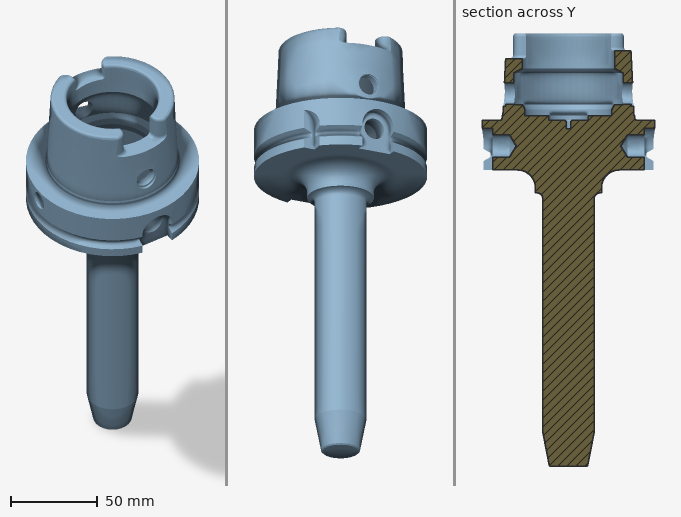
import cadquery as cq
import math

total_length = 250.0
shank_height = 50.0
flange_radius = 50.0
flange_thickness = 29.0

shank_top_radius = 35.7
shank_foot_radius = 38.0
rim_round = 1.7
foot_band_radius = 38.5
foot_band_height = 2.0
foot_bevel_height = 1.0
foot_fillet = 1.0

groove_top = -16.7
groove_floor_radius = 46.0
groove_floor_width = 2.2
groove_flank_angle = 30.0
groove_fillet = 0.7

neck_fillet = 10.0
neck_radius = 19.2
ring_height = 3.2
ring_fillet = 3.0
arbor_radius = 15.0
tip_height = 20.0
tip_radius = 11.2
tip_chamfer = 0.7

bore_radius = 26.5
bore_straight_depth = 20.2
undercut_radius = 31.5
undercut_height = 2.7
ledge_height = 9.0
recess_radius = 25.0
recess_taper_end = 6.0
bore_floor = 2.5
tube_seat_radius = 11.2
tube_seat_depth = 2.5
coolant_mouth_radius = 2.2
coolant_radius = 1.2
coolant_depth = 5.0

notch_half_width = 10.0
notch_corner_radius = 5.5
notch_wall_end = 32.0
notch_floor_fillet = 2.0
left_notch_depth = 10.0
right_notch_depth = 14.5

cross_hole_radius = 6.0
cross_hole_height = 15.2
spot_face_radius = 6.7
spot_face_height = 14.7
spot_face_floor = 36.2

slot_radius = 10.0
slot_centre_z = -15.0
key_slot_floor = 44.0
side_slot_floor = 31.2
side_slot_centre = 42.2
key_hole_radius = 6.2
key_hole_depth = 10.0
drill_point_angle = 118.0

chip_radius = 5.2
chip_depth = 5.0
chip_z = -7.0
chip_pilot_radius = 0.5
chip_pilot_depth = 1.2

overrun = 2.5


def half_turn(shape):
    return shape.rotate((0, 0, 0), (0, 0, 1), 180)


def revolved_body():
    """Outer shape, solid, from the shank rim down to the arbor tip."""
    flank_height = (flange_radius - groove_floor_radius) * math.tan(math.radians(groove_flank_angle))
    floor_top = groove_top - flank_height
    floor_bottom = floor_top - groove_floor_width
    groove_bottom = floor_bottom - flank_height
    neck_end = -flange_thickness - neck_fillet
    ring_bottom = neck_end - ring_height
    fillet_end = ring_bottom - ring_fillet
    arbor_end = shank_height - total_length
    diagonal = math.sqrt(0.5)
    neck_arc_mid = (
        neck_radius + neck_fillet * (1 - diagonal),
        neck_end + neck_fillet * diagonal,
    )
    ring_arc_mid = (
        arbor_radius + ring_fillet * (1 - diagonal),
        fillet_end + ring_fillet * diagonal,
    )
    foot_arc_mid = (
        foot_band_radius + foot_fillet * (1 - diagonal),
        foot_fillet * (1 - diagonal),
    )
    profile = (
        cq.Workplane("XZ")
        .moveTo(0, shank_height)
        .lineTo(shank_top_radius, shank_height)
        .lineTo(shank_foot_radius, foot_band_height + foot_bevel_height)
        .lineTo(foot_band_radius, foot_band_height)
        .lineTo(foot_band_radius, foot_fillet)
        .threePointArc(foot_arc_mid, (foot_band_radius + foot_fillet, 0))
        .lineTo(flange_radius, 0)
        .lineTo(flange_radius, groove_top)
        .lineTo(groove_floor_radius, floor_top)
        .lineTo(groove_floor_radius, floor_bottom)
        .lineTo(flange_radius, groove_bottom)
        .lineTo(flange_radius, -flange_thickness)
        .lineTo(neck_radius + neck_fillet, -flange_thickness)
        .threePointArc(neck_arc_mid, (neck_radius, neck_end))
        .lineTo(neck_radius, ring_bottom)
        .lineTo(arbor_radius + ring_fillet, ring_bottom)
        .threePointArc(ring_arc_mid, (arbor_radius, fillet_end))
        .lineTo(arbor_radius, arbor_end + tip_height)
        .lineTo(tip_radius, arbor_end + tip_chamfer)
        .lineTo(tip_radius - tip_chamfer, arbor_end)
        .lineTo(0, arbor_end)
        .close()
    )
    body = profile.revolve(360, (0, 0), (0, 1))
    groove_corners = body.edges("%CIRCLE").filter(lambda edge: edge.radius() == groove_floor_radius)
    return groove_corners.fillet(groove_fillet)


def bore():
    """Clamping bore with its undercut, floor recess and blind coolant hole."""
    undercut_start = shank_height - bore_straight_depth
    undercut_end = undercut_start - undercut_height
    seat_floor = bore_floor - tube_seat_depth
    coolant_bevel = coolant_mouth_radius - coolant_radius
    profile = (
        cq.Workplane("XZ")
        .moveTo(0, shank_height)
        .lineTo(bore_radius, shank_height)
        .lineTo(bore_radius, undercut_start)
        .lineTo(undercut_radius, undercut_end)
        .lineTo(undercut_radius, ledge_height)
        .lineTo(bore_radius, ledge_height)
        .lineTo(recess_radius, recess_taper_end)
        .lineTo(recess_radius, bore_floor)
        .lineTo(tube_seat_radius, bore_floor)
        .lineTo(tube_seat_radius, seat_floor)
        .lineTo(coolant_mouth_radius, seat_floor)
        .lineTo(coolant_radius, seat_floor - coolant_bevel)
        .lineTo(coolant_radius, seat_floor - coolant_depth)
        .lineTo(0, seat_floor - coolant_depth)
        .close()
    )
    return profile.revolve(360, (0, 0), (0, 1))


def drive_notch(side, depth):
    """Notch on the +X (side = 1) or -X (side = -1) rim, flaring round the prong ends."""
    corner_start = notch_wall_end - notch_corner_radius
    flare = notch_half_width + notch_corner_radius
    arc_inset = notch_corner_radius * (1 - math.sqrt(0.5))
    arc_mid = (notch_wall_end - arc_inset, notch_half_width + arc_inset)
    cutter = (
        cq.Workplane("XY", origin=(0, 0, shank_height - depth))
        .moveTo(0, -notch_half_width)
        .lineTo(corner_start, -notch_half_width)
        .threePointArc((arc_mid[0], -arc_mid[1]), (notch_wall_end, -flare))
        .lineTo(notch_wall_end, -flange_radius)
        .lineTo(flange_radius, -flange_radius)
        .lineTo(flange_radius, flange_radius)
        .lineTo(notch_wall_end, flange_radius)
        .lineTo(notch_wall_end, flare)
        .threePointArc(arc_mid, (corner_start, notch_half_width))
        .lineTo(0, notch_half_width)
        .close()
        .extrude(depth + overrun)
        .faces("<Z")
        .edges()
        .fillet(notch_floor_fillet)
    )
    return cutter if side > 0 else half_turn(cutter)


def cross_hole():
    """Hole along X through the shank with a shallow spot face on both outer ends."""
    hole = (
        cq.Workplane("YZ", origin=(-flange_radius, 0, cross_hole_height))
        .circle(cross_hole_radius)
        .extrude(2 * flange_radius)
    )
    for side in (-1, 1):
        spot_face = (
            cq.Workplane("YZ", origin=(side * spot_face_floor, 0, spot_face_height))
            .circle(spot_face_radius)
            .extrude(side * (flange_radius - spot_face_floor))
        )
        hole = hole.union(spot_face)
    return hole


def flange_slot(centre_y, floor_distance):
    """Round-topped slot open to the -X side and to the lower face of the flange."""
    slot_bottom = -flange_thickness - overrun
    return (
        cq.Workplane("YZ", origin=(-flange_radius - overrun, centre_y, 0))
        .moveTo(-slot_radius, slot_bottom)
        .lineTo(-slot_radius, slot_centre_z)
        .threePointArc((0, slot_centre_z + slot_radius), (slot_radius, slot_centre_z))
        .lineTo(slot_radius, slot_bottom)
        .close()
        .extrude(flange_radius + overrun - floor_distance)
    )


def key_slot():
    """Slot on the -X side with a blind drilled hole in its floor."""
    point_depth = key_hole_radius / math.tan(math.radians(drill_point_angle / 2))
    drilled_hole = (
        cq.Workplane("XY", origin=(-key_slot_floor, 0, slot_centre_z))
        .lineTo(key_hole_depth + point_depth, 0)
        .lineTo(key_hole_depth, key_hole_radius)
        .lineTo(0, key_hole_radius)
        .close()
        .revolve(360, (0, 0), (1, 0))
    )
    return flange_slot(0, key_slot_floor).union(drilled_hole)


def chip_pocket():
    """Flat-bottomed round pocket on the -Y side with a small pilot hole in its floor."""
    pocket = (
        cq.Workplane("XZ", origin=(0, -flange_radius + chip_depth, chip_z))
        .circle(chip_radius)
        .extrude(chip_depth + overrun)
    )
    pilot = (
        cq.Workplane("XZ", origin=(0, -flange_radius + chip_depth + chip_pilot_depth, chip_z))
        .circle(chip_pilot_radius)
        .extrude(chip_pilot_depth + overrun)
    )
    return pocket.union(pilot)


result = revolved_body().cut(bore())
result = result.cut(drive_notch(-1, left_notch_depth))
result = result.cut(drive_notch(1, right_notch_depth))
result = result.faces(">Z").edges().fillet(rim_round)
result = result.cut(cross_hole())
result = result.cut(key_slot())
result = result.cut(half_turn(key_slot()))
result = result.cut(flange_slot(side_slot_centre, side_slot_floor))
result = result.cut(chip_pocket())